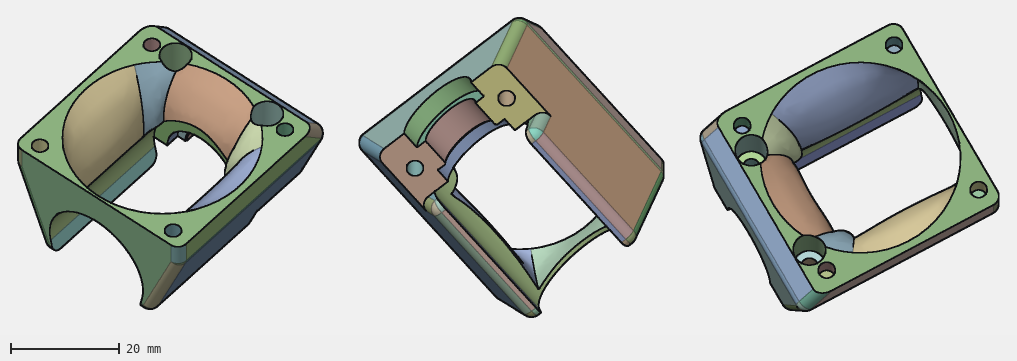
import cadquery as cq
import math


width = 40.05
length = 42.7
height = 24.0
side_height = 5.05
bottom_half_width = 12.72
edge_radius = 2.0
back_chamfer = 3.6

bore_radius = 11.27
bore_axis_z = -18.05
mount_length = 12.7
mount_start = length - mount_length
collar_radius = 8.05
neck_radius = 6.0
neck_chamfer = 0.2
front_collar_length = 3.0
neck_length = 5.98
arm_lean = 11.6

fan_center_y = 19.05
fan_radius = 18.55
fan_split_angles = [236.5, 303.5, 393.5, 420, 480, 506.5]
duct_front = 1.0
duct_back = 29.05
duct_half_width = 10.5
duct_side_bulge = 0.95
duct_waist_z = -6.85
waist_half_width = 11.2
waist_back = 29.45
waist_side_bulge = 0.05
duct_bottom_z = -13.65
rib_radius = 2.9

hole_diameter = 3.1
fan_hole_pitch = 32.2
fan_hole_depth = 5.0
screw_x = 11.05
screw_y = 36.0
counterbore_diameter = 6.0
counterbore_depth = 10.0


def tapered_prism(depth, prism_length):
    """Cross-section cut off at the given depth, extruded from the front face towards the back."""
    half = width / 2
    taper = (half - bottom_half_width) / (height - side_height)
    low_half = half - taper * (depth - side_height)
    outline = [
        (-half, 0),
        (half, 0),
        (half, -side_height),
        (low_half, -depth),
        (-low_half, -depth),
        (-half, -side_height),
    ]
    return cq.Workplane("XZ").polyline(outline).close().extrude(-prism_length)


def make_body():
    """Deep front block with rounded arms joined to the shallower full-length block."""
    top_edges = cq.selectors.BoxSelector((-width, -edge_radius, -edge_radius), (width, length, edge_radius))
    front_block = tapered_prism(height, mount_start)
    front_block = front_block.edges(cq.selectors.InverseSelector(top_edges)).fillet(edge_radius)

    full_block = tapered_prism(-bore_axis_z, length)
    full_block = full_block.faces(">Z").edges(">Y").chamfer(back_chamfer)
    full_block = full_block.edges("not(>Z or <Z)").fillet(edge_radius)
    return front_block.union(full_block)


def y_cylinder(radius, start, cylinder_length):
    plane = cq.Workplane("XZ", origin=(0, start, bore_axis_z))
    return plane.circle(radius).extrude(-cylinder_length)


def make_mount_cut():
    """Heat sink bore, the gap between the arms, and the collar / neck / collar seat behind it."""
    neck_start = mount_start + front_collar_length
    rear_start = neck_start + neck_length
    lean = math.radians(arm_lean)
    tangent_x = bore_radius * math.cos(lean)
    tangent_z = bore_axis_z - bore_radius * math.sin(lean)
    tip_x = tangent_x - (tangent_z + height) * math.tan(lean)
    gap_outline = [
        (-tangent_x, tangent_z),
        (tangent_x, tangent_z),
        (tip_x, -height),
        (-tip_x, -height),
    ]
    gap = cq.Workplane("XZ").polyline(gap_outline).close().extrude(-mount_start)
    cut = y_cylinder(bore_radius, 0, mount_start).union(gap)
    cut = cut.union(y_cylinder(collar_radius, mount_start, front_collar_length))
    lead_in = cq.Solid.makeCone(
        neck_radius + neck_chamfer,
        neck_radius,
        neck_chamfer,
        pnt=cq.Vector(0, neck_start, bore_axis_z),
        dir=cq.Vector(0, 1, 0),
    )
    cut = cut.union(y_cylinder(neck_radius, neck_start, neck_length)).union(cq.Workplane(lead_in))
    return cut.union(y_cylinder(collar_radius, rear_start, length - rear_start))


def fan_circle_section():
    """Fan opening split into six arcs that match the six edges of the lower duct sections."""
    def point(angle):
        radians = math.radians(angle)
        return (fan_radius * math.cos(radians), fan_center_y + fan_radius * math.sin(radians))

    split_angles = [*fan_split_angles, fan_split_angles[0] + 360]
    section = cq.Workplane("XY").moveTo(*point(split_angles[0]))
    for start, end in zip(split_angles, split_angles[1:]):
        section = section.threePointArc(point((start + end) / 2), point(end))
    return section.close().wires().val()


def duct_section(z, half_width, front, back, bulge):
    """Rectangle with inward-bowed sides and a rounded rib tip in each back corner."""
    tip = rib_radius * math.sqrt(0.5)
    middle_y = (front + back - rib_radius) / 2
    section = (
        cq.Workplane("XY", origin=(0, 0, z))
        .moveTo(-half_width, front)
        .lineTo(half_width, front)
        .threePointArc((half_width - bulge, middle_y), (half_width, back - rib_radius))
        .threePointArc((half_width - tip, back - tip), (half_width - rib_radius, back))
        .lineTo(rib_radius - half_width, back)
        .threePointArc((tip - half_width, back - tip), (-half_width, back - rib_radius))
        .threePointArc((bulge - half_width, middle_y), (-half_width, front))
        .close()
    )
    return section.wires().val()


def make_duct():
    sections = [
        fan_circle_section(),
        duct_section(duct_waist_z, waist_half_width, duct_front, waist_back, waist_side_bulge),
        duct_section(duct_bottom_z, duct_half_width, duct_front, duct_back, duct_side_bulge),
    ]
    return cq.Workplane(cq.Solid.makeLoft(sections))


body = make_body().cut(make_duct()).cut(make_mount_cut())

fan_holes = (
    cq.Workplane("XY", origin=(0, fan_center_y, 0))
    .rect(fan_hole_pitch, fan_hole_pitch, forConstruction=True)
    .vertices()
    .circle(hole_diameter / 2)
    .extrude(-fan_hole_depth)
)
screw_points = [(-screw_x, screw_y), (screw_x, screw_y)]
screw_holes = cq.Workplane("XY").pushPoints(screw_points).circle(hole_diameter / 2).extrude(-height)
counterbores = (
    cq.Workplane("XY").pushPoints(screw_points).circle(counterbore_diameter / 2).extrude(-counterbore_depth)
)

result = body.cut(fan_holes).cut(screw_holes).cut(counterbores)